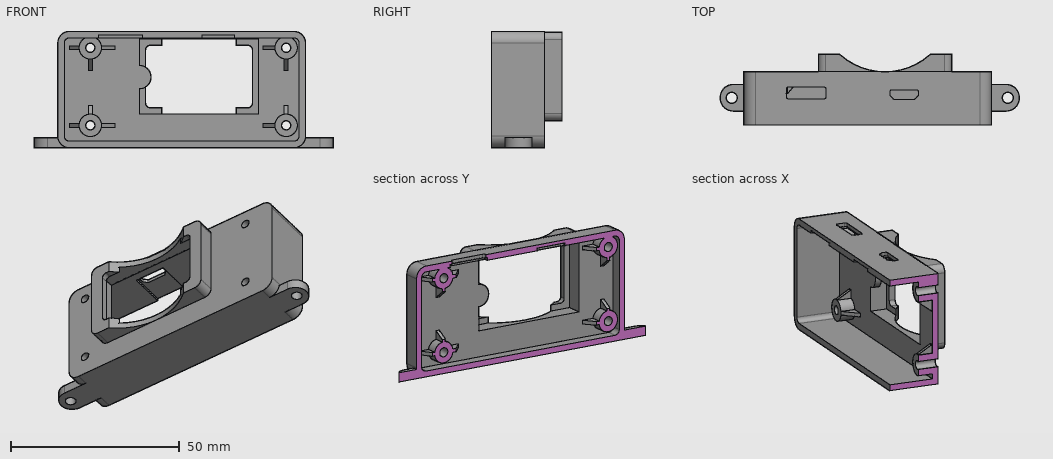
import cadquery as cq

overall_length = 88.6
box_length = 73.4
box_depth = 15.8
box_height = 34.5
wall = 1.95
box_corner_radius = 3.5
cavity_corner_radius = box_corner_radius - wall
floor_y = box_depth - wall

frame_depth = 5.2
frame_length = 39.5
frame_height = 26.2
frame_center_x = 41.8
frame_center_z = 21.1
frame_corner_radius = 2.2
frame_wall_x = 2.1
frame_wall_z = 2.0
pocket_length = frame_length - 2 * frame_wall_x
pocket_height = frame_height - 2 * frame_wall_z
window_margin = 1.9
window_corner_radius = 1.3
scoop_radius = 20.0
frame_back_y = box_depth + frame_depth

tongue_radius = 3.5
tongue_center_z = 20.9

boss_left_x = 9.7
boss_spacing_x = 58.0
boss_right_x = boss_left_x + boss_spacing_x
boss_low_z = 6.65
boss_spacing_z = 22.95
boss_high_z = boss_low_z + boss_spacing_z
boss_diameter = 6.65
boss_height = 4.5
boss_hole_diameter = 2.7
rib_thickness = 1.15
rib_reach_left = 6.2
rib_reach_right = 7.3
rib_reach_far_side = 6.9
rib_reach_down = 6.7
rib_reach_up = 5.9

ear_width = 8
ear_thickness = 3.0
ear_center_y = 8.1
ear_left_reach = 7.0
ear_right_reach = overall_length - box_length - ear_left_reach
ear_hole_diameter = 3.2
ear_hole_to_tip = 3.5

cavity_top_z = box_height - wall
recess_depth = 0.8
recess_margin = 0.6
wide_port_length = 11.8
wide_port_width = 3.5
wide_port_center = (18.5, 9.5)
wide_port_corner_radius = 0.6
small_port_length = 8.4
small_port_width = 2.9
small_port_center = (47.5, 8.95)
small_port_chamfer = 1.2
small_port_corner_radius = 0.5


def block(x_range, y_range, z_range):
    (x0, x1), (y0, y1), (z0, z1) = x_range, y_range, z_range
    size = (x1 - x0, y1 - y0, z1 - z0)
    return cq.Workplane("XY").box(*size, centered=False).translate((x0, y0, z0))


def centered_block(center_x, center_z, length, height, y_range):
    return block(
        (center_x - length / 2, center_x + length / 2),
        y_range,
        (center_z - height / 2, center_z + height / 2),
    )


def cylinder_along_y(x, z, diameter, y_range):
    y0, y1 = y_range
    center = cq.Vector(x, y0, z)
    return cq.Workplane(cq.Solid.makeCylinder(diameter / 2, y1 - y0, center, cq.Vector(0, 1, 0)))


def make_ear(inner_x, tip_x):
    """Round-ended ear whose root fills the rounded lower corner of the box."""
    direction = 1 if tip_x > inner_x else -1
    arc_x = tip_x - direction * ear_width / 2
    low_y = ear_center_y - ear_width / 2
    high_y = ear_center_y + ear_width / 2
    ear = (
        cq.Workplane("XY")
        .moveTo(inner_x, low_y)
        .lineTo(arc_x, low_y)
        .threePointArc((tip_x, ear_center_y), (arc_x, high_y))
        .lineTo(inner_x, high_y)
        .close()
        .extrude(ear_thickness)
    )
    hole = (
        cq.Workplane("XY")
        .center(tip_x - direction * ear_hole_to_tip, ear_center_y)
        .circle(ear_hole_diameter / 2)
        .extrude(ear_thickness)
    )
    return ear.cut(hole)


def rib_layout(boss_x, boss_z):
    """Reach and angle of each rib; ribs that would run into a nearby wall are left out."""
    if boss_x == boss_left_x:
        side_ribs = [(rib_reach_right, 0), (rib_reach_left, 180)]
    else:
        side_ribs = [(rib_reach_far_side, 180)]
    if boss_z == boss_low_z:
        return side_ribs + [(rib_reach_up, -90)]
    return side_ribs + [(rib_reach_down, 90)]


def make_rib(boss_x, boss_z, reach, angle):
    """Triangular rib from the boss rim down to the floor, turned about the boss axis."""
    boss_radius = boss_diameter / 2
    rib_root = (boss_diameter + boss_hole_diameter) / 4
    boss_top_y = floor_y - boss_height
    rib = (
        cq.Workplane("XY", origin=(0, 0, -rib_thickness / 2))
        .polyline([(rib_root, floor_y), (reach, floor_y), (boss_radius, boss_top_y), (rib_root, boss_top_y)])
        .close()
        .extrude(rib_thickness)
    )
    return rib.rotate((0, 0, 0), (0, 1, 0), angle).translate((boss_x, 0, boss_z))


def make_recess(port_center, port_length, port_width):
    """Relief under a port, open to the front and a little wider than the port."""
    port_x, port_y = port_center
    half_length = port_length / 2 + recess_margin
    return block(
        (port_x - half_length, port_x + half_length),
        (0, port_y + port_width / 2 + recess_margin),
        (cavity_top_z, cavity_top_z + recess_depth),
    )


outer_box = block((0, box_length), (0, box_depth), (0, box_height)).edges("|Y").fillet(box_corner_radius)
cavity = (
    block((wall, box_length - wall), (0, floor_y), (wall, box_height - wall))
    .edges("|Y")
    .fillet(cavity_corner_radius)
)
left_ear = make_ear(box_corner_radius, -ear_left_reach)
right_ear = make_ear(box_length - box_corner_radius, box_length + ear_right_reach)
body = outer_box.union(left_ear).union(right_ear).cut(cavity)

frame = centered_block(
    frame_center_x, frame_center_z, frame_length, frame_height, (box_depth, frame_back_y)
)
body = body.union(frame.edges("|Y").fillet(frame_corner_radius))
scoop = (
    cq.Workplane("XY")
    .center(frame_center_x, box_depth + scoop_radius)
    .circle(scoop_radius)
    .extrude(box_height)
)
pocket = centered_block(
    frame_center_x, frame_center_z, pocket_length, pocket_height, (floor_y, frame_back_y - wall)
)
window = centered_block(
    frame_center_x,
    frame_center_z,
    pocket_length - 2 * window_margin,
    pocket_height - 2 * window_margin,
    (floor_y, frame_back_y),
)
body = body.cut(scoop).cut(pocket).cut(window.edges("|Y").fillet(window_corner_radius))

pocket_left_x = frame_center_x - pocket_length / 2
body = body.union(
    cylinder_along_y(pocket_left_x, tongue_center_z, 2 * tongue_radius, (floor_y, box_depth))
)

boss_y = (floor_y - boss_height, floor_y)
for boss_x in (boss_left_x, boss_right_x):
    for boss_z in (boss_low_z, boss_high_z):
        body = body.union(cylinder_along_y(boss_x, boss_z, boss_diameter, boss_y))
        body = body.cut(cylinder_along_y(boss_x, boss_z, boss_hole_diameter, (0, box_depth)))
        for reach, angle in rib_layout(boss_x, boss_z):
            body = body.union(make_rib(boss_x, boss_z, reach, angle))

wide_port = (
    cq.Workplane("XY", origin=(*wide_port_center, cavity_top_z))
    .rect(wide_port_length, wide_port_width)
    .extrude(wall)
    .edges("|Z")
    .fillet(wide_port_corner_radius)
)
small_port = (
    cq.Workplane("XY", origin=(*small_port_center, cavity_top_z))
    .rect(small_port_length, small_port_width)
    .extrude(wall)
    .edges("|Z and <Y")
    .chamfer(small_port_chamfer)
    .edges("|Z")
    .fillet(small_port_corner_radius)
)
body = body.cut(wide_port).cut(small_port)
body = body.cut(make_recess(wide_port_center, wide_port_length, wide_port_width))
body = body.cut(make_recess(small_port_center, small_port_length, small_port_width))

result = body